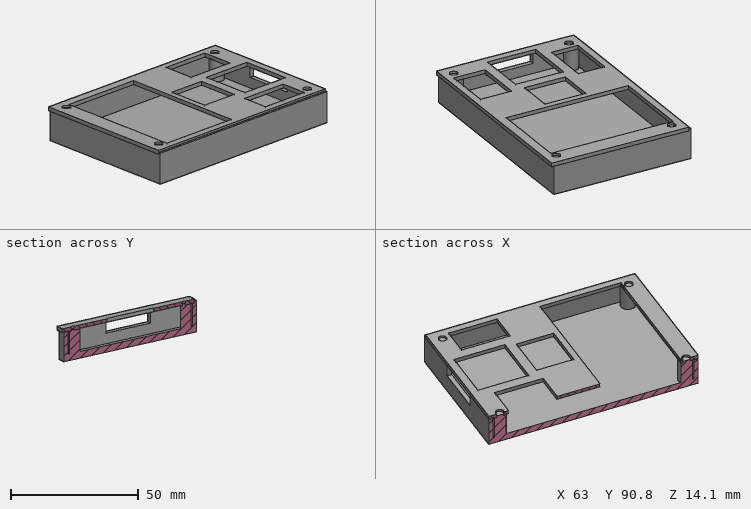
import cadquery as cq

length = 90.8
width = 62.0
overhang = 1.0
total_height = 14.1

rim_height = 13.2
wall = 2.0
floor = 3.0
boss_radius = 3.0

lid_thickness = 1.6
lid_bottom = total_height - lid_thickness
hole_diameter = 3.4
hole_inset = 5.0

side_window_y = (61.2, 82.3)
right_window_edge = 59.0
windows = {
    "left": (overhang + wall, 17.1, *side_window_y),
    "connector": (21.25, 42.95, 65.5, 87.5),
    "right": (47.1, right_window_edge, *side_window_y),
    "middle": (22.9, 41.3, 45.1, 61.3),
    "display": (3.9, right_window_edge, 7.45, 42.6),
}

slot_width = 20.8
slot_bottom = 7.45


def block(x_min, x_max, y_min, y_max, z_min, z_max):
    """Box given by its limits along each axis."""
    size = (x_max - x_min, y_max - y_min, z_max - z_min)
    return cq.Workplane("XY").box(*size, centered=False).translate((x_min, y_min, z_min))


def corner_points(x_shift):
    """Four screw positions of the lid, moved along X."""
    return [
        (x + x_shift, y)
        for x in (hole_inset, width - hole_inset)
        for y in (hole_inset, length - hole_inset)
    ]


def make_lid():
    """Flat plate with five rectangular windows and four corner holes."""
    lid = block(0, width, 0, length, lid_bottom, total_height)
    for window in windows.values():
        lid = lid.cut(block(*window, lid_bottom, total_height))
    holes = (
        cq.Workplane("XY", origin=(0, 0, lid_bottom))
        .pushPoints(corner_points(0))
        .circle(hole_diameter / 2)
        .extrude(lid_thickness)
    )
    return lid.cut(holes)


def make_housing(lid):
    """Open tray with corner bosses, recessed to take the lid."""
    x_min = overhang
    x_max = overhang + width
    housing = block(x_min, x_max, 0, length, 0, rim_height)
    cavity = block(x_min + wall, x_max - wall, wall, length - wall, floor, rim_height)
    bosses = (
        cq.Workplane("XY", origin=(0, 0, floor))
        .pushPoints(corner_points(overhang))
        .circle(boss_radius)
        .extrude(rim_height - floor)
    )
    housing = housing.cut(cavity).union(bosses)

    slot_middle = (x_min + x_max) / 2
    slot = block(
        slot_middle - slot_width / 2,
        slot_middle + slot_width / 2,
        length - wall,
        length,
        slot_bottom,
        lid_bottom,
    )
    return housing.cut(slot).cut(lid)


lid = make_lid()
housing = make_housing(lid)

result = cq.Compound.makeCompound([*housing.solids().vals(), *lid.solids().vals()])